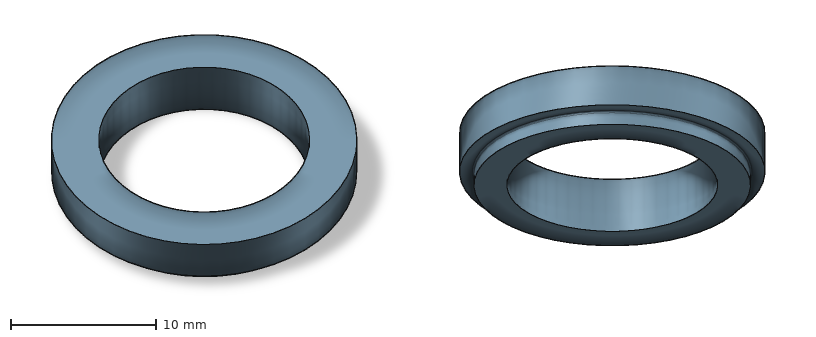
import cadquery as cq

outer_diameter = 21.0
step_diameter = 19.0
bore_diameter = 14.5
total_height = 4.0
step_height = 1.0
root_fillet_radius = 0.115
rim_height = total_height - step_height


def make_step():
    """Narrower locating step at the bottom of the ring."""
    return cq.Workplane("XY").circle(step_diameter / 2).extrude(step_height)


def make_rim():
    """Full-width rim standing on the step."""
    return cq.Workplane("XY").workplane(offset=step_height).circle(outer_diameter / 2).extrude(rim_height)


def make_bore():
    """Through bore shared by the step and the rim."""
    return cq.Workplane("XY").circle(bore_diameter / 2).extrude(total_height)


def make_root_fillet():
    """Small concave fillet ring where the step wall meets the underside of the rim."""
    step_radius = step_diameter / 2
    bore_radius = bore_diameter / 2
    fillet_bottom = step_height - root_fillet_radius
    profile = (
        cq.Workplane("XZ")
        .moveTo(bore_radius, fillet_bottom)
        .lineTo(step_radius, fillet_bottom)
        .radiusArc((step_radius + root_fillet_radius, step_height), root_fillet_radius)
        .lineTo(bore_radius, step_height)
        .close()
    )
    return profile.revolve(360, (0, 0, 0), (0, 1, 0))


result = make_step().union(make_root_fillet()).union(make_rim()).cut(make_bore())